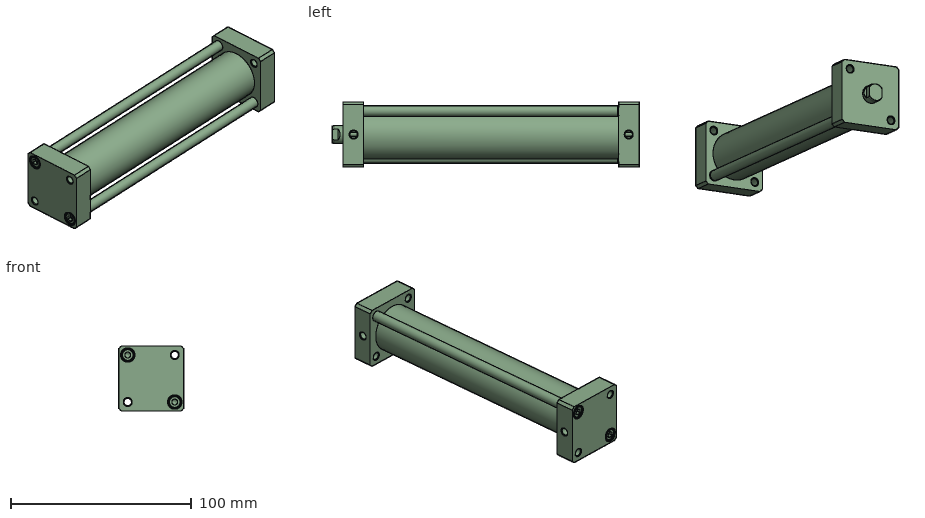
import cadquery as cq
import math


TOTAL_LENGTH = 170.0
ROD_PROTRUSION = 6.0

CAP_SIDE = 36.0
CAP_LENGTH = 11.5
CAP_CHAMFER = 1.5
FRONT_CAP_START = 0.0
REAR_CAP_START = TOTAL_LENGTH - ROD_PROTRUSION - CAP_LENGTH

BARREL_DIAMETER = 27.0
BARREL_START = FRONT_CAP_START + CAP_LENGTH
BARREL_LENGTH = REAR_CAP_START - BARREL_START

CORNER_SPACING = 26.0
CORNER_OFFSET = CORNER_SPACING / 2
TIE_ROD_CORNERS = [(-CORNER_OFFSET, CORNER_OFFSET), (CORNER_OFFSET, -CORNER_OFFSET)]
MOUNT_CORNERS = [(CORNER_OFFSET, CORNER_OFFSET), (-CORNER_OFFSET, -CORNER_OFFSET)]
MOUNT_HOLE_DIAMETER = 4.0
MOUNT_HOLE_MOUTH = 5.0

SHAFT_DIAMETER = 6.0
SHAFT_GAP = 0.5
NECK_DIAMETER = 5.0
HEAD_DIAMETER = 7.0
HEAD_TOP_DIAMETER = 6.0
HEAD_HEIGHT = 4.0
HEAD_RECESS = 0.3
SOCKET_WIDTH = 3.0
HEXAGON_SIDES = 6
HEXAGON_HALF_ANGLE = 180.0 / HEXAGON_SIDES
SOCKET_DRILL_DIAMETER = 3.2
SOCKET_DEPTH = 2.0
SHAFT_START = BARREL_START + SHAFT_GAP

COUNTERBORE_DIAMETER = 7.5
COUNTERBORE_MOUTH = 8.0
COUNTERBORE_DEPTH = HEAD_RECESS + HEAD_HEIGHT

PORT_DIAMETER = 4.0
PORT_MOUTH = 5.0
PORT_DEPTH = 7.5
PORT_OFFSET = 6.0
PORT_BAR_DIAMETER = 2.0
PORT_BAR_DEPTH = 6.0

DRILL_POINT_ANGLE = 118.0

ROD_DIAMETER = 10.0
ROD_END_CHAMFER_LENGTH = 1.2
ROD_END_CHAMFER_DEPTH = 0.3
FLAT_WIDTH = 8.0
FLAT_LENGTH = 3.4

ALONG_X = cq.Vector(1, 0, 0)
ALONG_Y = cq.Vector(0, 1, 0)


def cylinder(diameter, start, length, axis=ALONG_Y):
    """Cylinder from the point `start` along `axis`."""
    return cq.Workplane(cq.Solid.makeCylinder(diameter / 2, length, cq.Vector(*start), axis))


def cone(first_diameter, last_diameter, start, length, axis=ALONG_Y):
    """Cone from the point `start` along `axis`."""
    return cq.Workplane(
        cq.Solid.makeCone(first_diameter / 2, last_diameter / 2, length, cq.Vector(*start), axis)
    )


def drilled_hole(diameter, start, depth, axis=ALONG_Y):
    """Blind hole with a conical bottom beyond its full-diameter depth."""
    bottom = cq.Vector(*start) + axis * depth
    point_length = diameter / 2 / math.tan(math.radians(DRILL_POINT_ANGLE / 2))
    point = cone(diameter, 0, bottom.toTuple(), point_length, axis)
    return cylinder(diameter, start, depth, axis).union(point)


def mount_hole(x, z, start):
    """Through hole of a cap, with a 45-degree chamfer at both mouths."""
    end = start + CAP_LENGTH
    chamfer = (MOUNT_HOLE_MOUTH - MOUNT_HOLE_DIAMETER) / 2
    return (
        cylinder(MOUNT_HOLE_DIAMETER, (x, start, z), CAP_LENGTH)
        .union(cone(MOUNT_HOLE_MOUTH, MOUNT_HOLE_DIAMETER, (x, start, z), chamfer))
        .union(cone(MOUNT_HOLE_DIAMETER, MOUNT_HOLE_MOUTH, (x, end - chamfer, z), chamfer))
    )


def port(y):
    """Chamfered blind port in a cap's -X side."""
    mouth = (-CAP_SIDE / 2, y, 0)
    chamfer = (PORT_MOUTH - PORT_DIAMETER) / 2
    return drilled_hole(PORT_DIAMETER, mouth, PORT_DEPTH, ALONG_X).union(
        cone(PORT_MOUTH, PORT_DIAMETER, mouth, chamfer, ALONG_X)
    )


def port_bar(y):
    """Bar across a port, its ends buried in the port wall."""
    return cylinder(PORT_BAR_DIAMETER, (PORT_BAR_DEPTH - CAP_SIDE / 2, y - PORT_MOUTH / 2, 0), PORT_MOUTH)


def cap(start, port_y):
    """Square cap with chamfered corners, mounting holes and a barred port."""
    block = (
        cq.Workplane("XY")
        .box(CAP_SIDE, CAP_LENGTH, CAP_SIDE)
        .edges("|Y")
        .chamfer(CAP_CHAMFER)
        .translate((0, start + CAP_LENGTH / 2, 0))
    )
    for x, z in MOUNT_CORNERS:
        block = block.cut(mount_hole(x, z, start))
    return block.cut(port(port_y)).union(port_bar(port_y))


def front_cap():
    """Cap with counterbored holes for the tie rods."""
    body = cap(FRONT_CAP_START, FRONT_CAP_START + PORT_OFFSET)
    chamfer = (COUNTERBORE_MOUTH - COUNTERBORE_DIAMETER) / 2
    for x, z in TIE_ROD_CORNERS:
        start = (x, FRONT_CAP_START, z)
        body = (
            body.cut(cylinder(NECK_DIAMETER, start, CAP_LENGTH))
            .cut(cylinder(COUNTERBORE_DIAMETER, start, COUNTERBORE_DEPTH))
            .cut(cone(COUNTERBORE_MOUTH, COUNTERBORE_DIAMETER, start, chamfer))
        )
    return body


def rear_cap():
    """Cap with a through hole for the piston rod."""
    body = cap(REAR_CAP_START, REAR_CAP_START + CAP_LENGTH - PORT_OFFSET)
    return body.cut(cylinder(ROD_DIAMETER, (0, REAR_CAP_START, 0), CAP_LENGTH))


def barrel():
    """Round body between the caps."""
    return cylinder(BARREL_DIAMETER, (0, BARREL_START, 0), BARREL_LENGTH)


def socket(start):
    """Hexagon socket with corners at the top and bottom, over a drilled hole with a conical bottom."""
    corner_diameter = SOCKET_WIDTH / math.cos(math.radians(HEXAGON_HALF_ANGLE))
    hexagon = (
        cq.Workplane("XZ")
        .polygon(HEXAGON_SIDES, corner_diameter)
        .extrude(-SOCKET_DEPTH)
        .rotate((0, 0, 0), (0, 1, 0), HEXAGON_HALF_ANGLE)
        .translate(start)
    )
    return hexagon.union(drilled_hole(SOCKET_DRILL_DIAMETER, start, SOCKET_DEPTH))


def tie_rod(x, z):
    """Socket head, neck through the front cap, and shaft up to the rear cap."""
    head_start = (x, FRONT_CAP_START + HEAD_RECESS, z)
    seat = FRONT_CAP_START + COUNTERBORE_DEPTH
    head = (
        cylinder(HEAD_DIAMETER, head_start, HEAD_HEIGHT)
        .faces("<Y")
        .chamfer((HEAD_DIAMETER - HEAD_TOP_DIAMETER) / 2)
        .cut(socket(head_start))
    )
    neck = cylinder(NECK_DIAMETER, (x, seat, z), SHAFT_START - seat)
    shaft = cylinder(SHAFT_DIAMETER, (x, SHAFT_START, z), REAR_CAP_START - SHAFT_START)
    return head.union(neck).union(shaft)


def piston_rod():
    """Rod through the rear cap; its flats run out in 45-degree slopes."""
    length = TOTAL_LENGTH - REAR_CAP_START
    rod = (
        cylinder(ROD_DIAMETER, (0, REAR_CAP_START, 0), length)
        .faces(">Y")
        .chamfer(ROD_END_CHAMFER_LENGTH, ROD_END_CHAMFER_DEPTH)
    )
    half_flat = FLAT_WIDTH / 2
    radius = ROD_DIAMETER / 2
    flat_end = TOTAL_LENGTH - FLAT_LENGTH
    wrench_cut = (
        cq.Workplane("XY")
        .moveTo(half_flat, TOTAL_LENGTH)
        .lineTo(half_flat, flat_end)
        .lineTo(radius, flat_end - (radius - half_flat))
        .lineTo(radius, TOTAL_LENGTH)
        .close()
        .extrude(radius, both=True)
    )
    return rod.cut(wrench_cut).cut(wrench_cut.mirror("YZ"))


tie_rods = [tie_rod(x, z).val() for x, z in TIE_ROD_CORNERS]

result = cq.Compound.makeCompound(
    [front_cap().val(), rear_cap().val(), barrel().val(), piston_rod().val(), *tie_rods]
)